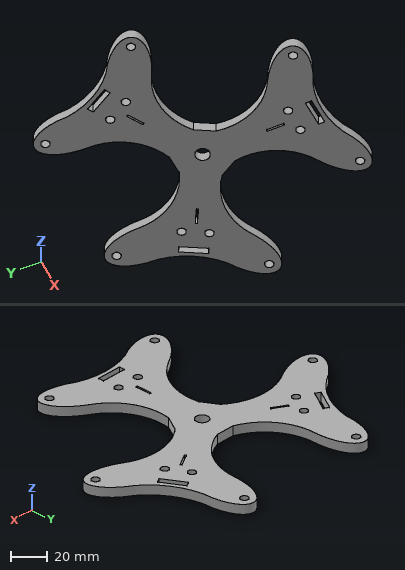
import cadquery as cq
import math

overall_width = 188.6
thickness = 6.6
arm_angles = (0, 120, 240)

hub_hole_diameter = 8.5
hub_flat_distance = 17.5
hub_flat_length = 12.5

lobe_angle = -30
lobe_offset = 44.9
lobe_half_width = 12.6
lobe_length = 26.6
lobe_cos = math.cos(math.radians(lobe_angle))
lobe_sin = math.sin(math.radians(lobe_angle))
lobe_reach_x = math.hypot(lobe_length * lobe_cos, lobe_half_width * lobe_sin)
lobe_base_along = (overall_width / 2 - lobe_reach_x + lobe_offset * lobe_sin) / lobe_cos

waist_half_width = 11.5
waist_distance = 22.5
end_edge_distance = 74.0

bolt_diameter = 5.0
tip_hole_x = 42.5
tip_hole_distance = 76.5
inner_hole_x = 7.7
inner_hole_distance = 56.6
slot_length = 16.8
slot_width = 3.8
slot_distance = 69.5
slit_length = 10.5
slit_width = 1.1
slit_distance = 44.9

axis = cq.Vector(lobe_cos, lobe_sin)
across = cq.Vector(-axis.y, axis.x)


def make_half_arm():
    """The +X half of the -Y arm, bounded by the arm axis and the hub sector."""
    hub_corner = axis * hub_flat_distance - across * (hub_flat_length / 2)
    hub_edge_middle = axis * hub_flat_distance
    waist = cq.Vector(waist_half_width, -waist_distance)
    lobe_center = axis * lobe_base_along - across * lobe_offset
    inner_joint = lobe_center + across * lobe_half_width
    outer_joint = lobe_center - across * lobe_half_width
    end_middle = cq.Vector(0, -end_edge_distance)
    lobe = cq.Edge.makeEllipse(
        lobe_length,
        lobe_half_width,
        pnt=lobe_center,
        xdir=axis,
        angle1=-90,
        angle2=90,
    )
    end_edge = cq.Edge.makeTangentArc(end_middle, cq.Vector(1, 0), outer_joint)
    outline = cq.Wire.assembleEdges([
        cq.Edge.makeLine(end_middle, cq.Vector()),
        cq.Edge.makeLine(cq.Vector(), hub_edge_middle),
        cq.Edge.makeLine(hub_edge_middle, hub_corner),
        cq.Edge.makeThreePointArc(hub_corner, waist, inner_joint),
        lobe,
        end_edge,
    ])
    return cq.Workplane(cq.Solid.extrudeLinear(outline, [], cq.Vector(0, 0, thickness)))


def make_openings():
    """Cutters for the bolt holes, slot and slit of the -Y arm."""
    hole_points = [
        (side * x, -distance)
        for side in (-1, 1)
        for x, distance in ((tip_hole_x, tip_hole_distance), (inner_hole_x, inner_hole_distance))
    ]
    holes = cq.Workplane().pushPoints(hole_points).circle(bolt_diameter / 2).extrude(thickness)
    slot = cq.Workplane().center(0, -slot_distance).rect(slot_length, slot_width).extrude(thickness)
    slit = cq.Workplane().center(0, -slit_distance).rect(slit_width, slit_length).extrude(thickness)
    return holes.union(slot).union(slit)


def around_hub(shape, angle):
    return shape.rotate((0, 0, 0), (0, 0, 1), angle)


half_arm = make_half_arm()
arm = half_arm.union(half_arm.mirror("YZ"))
openings = make_openings()

plate = arm
for angle in arm_angles[1:]:
    plate = plate.union(around_hub(arm, angle))
plate = plate.clean()

for angle in arm_angles:
    plate = plate.cut(around_hub(openings, angle))

hub_hole = cq.Workplane().circle(hub_hole_diameter / 2).extrude(thickness)
result = plate.cut(hub_hole)